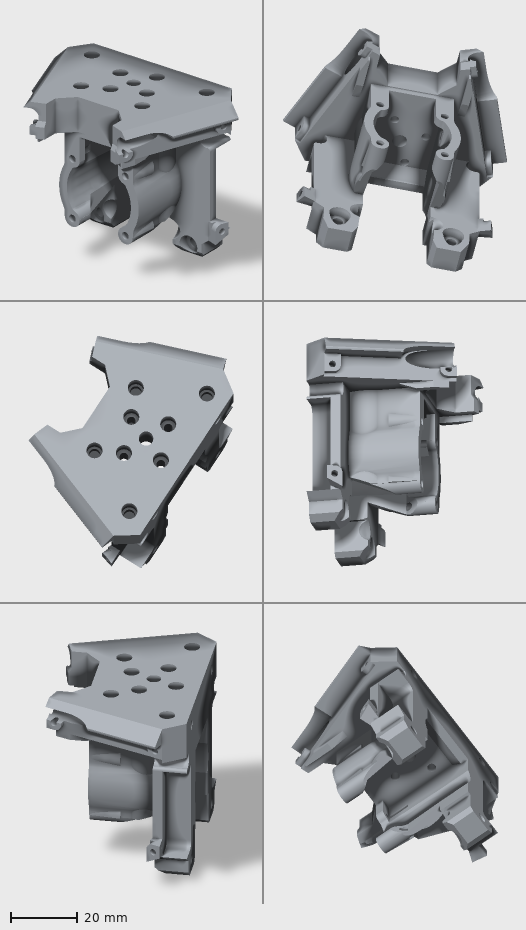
import cadquery as cq
import math


PLATE_DEPTH = 11.7
BACK_HALF = 26.05
CORNER_X = 30.6
CORNER_Y = -6.65
FLANK_ANGLE = 20.0
FLANK_LENGTH = 39.4
NOTCH_HALF = 7.6
NOTCH_BACK_Y = -32.5
NOTCH_CHAMFER = 4.85
FLANK_SIN = math.sin(math.radians(FLANK_ANGLE))
FLANK_COS = math.cos(math.radians(FLANK_ANGLE))
FRONT_X = CORNER_X - FLANK_LENGTH * FLANK_SIN
FRONT_Y = CORNER_Y - FLANK_LENGTH * FLANK_COS
NOTCH_SIDE = NOTCH_HALF + NOTCH_CHAMFER
NOTCH_FRONT_Y = FRONT_Y + (FRONT_X - NOTCH_SIDE) * FLANK_SIN / FLANK_COS

HALF_WIDTH = 34.6
FLANGE_REACH = (HALF_WIDTH - CORNER_X) / FLANK_COS
FLANGE_LIP_TOP = 4.15
FLANGE_LIP_BOTTOM = 4.6
FLANGE_UNDERCUT = 0.15
FLANGE_BOTTOM = 5.0
SKIRT_INSET = 1.9
LUG_WIDTH = 5.05
LUG_BOTTOM = 10.6
LUG_ROUND = 2.2
LUG_HOLE = 2.1
LUG_HOLE_INSET = 2.5
LUG_HOLE_DEPTH = 8.3
LUG_HOLE_LENGTH = 4.15
LEDGE_REACH = 0.9
LEDGE_TOP = 6.0
LEDGE_SLOPE_END = 7.7

SCREW_X = 17.5
SCREW_Z = (-5.0, -51.1)
SCREW_HOLE = 3.2
HEAD_DIA = 5.7
UPPER_SEAT_Y = -27.7
LOWER_SEAT_Y = -7.6
LOWER_SEAT_MOUTH = 6.65

PATTERN_Y = -14.6
PATTERN_RADIUS = 8.0
PATTERN_ANGLE = 66.5
PATTERN_COUNT = 4
CENTRE_HOLE = 4.35
PATTERN_HOLE = 2.6
INSERT_DIA = 4.85
INSERT_DEPTH = 5.55
BLIND_HOLE = 3.45
BLIND_DEPTH = 8.3
BLIND_POINTS = ((21.6, -6.7), (11.5, -25.7))

LEG_FRONT_Y = -10.45
LEG_HALF = 25.6
LEG_INNER = 11.55
LEG_FOOT_HALF = 22.5
LEG_BOTTOM = -55.1
LEG_SHOULDER = -16.3
LEG_SHOULDER_ROUND = 1.05
LEG_STEP_TOP = -46.8
LEG_STEP_BOTTOM = -49.2
FOOT_CHAMFER = 2.0
FOOT_INNER_CHAMFER = 1.45
FOOT_FRONT_CHAMFER = 3.0
RELIEF_X = 24.2
RELIEF_Z = -13.65
RELIEF_RADIUS = 2.7
POCKET_FRONT_Y = -7.5
POCKET_FLOOR = 18.0
POCKET_TOP = -17.4
POCKET_BOTTOM = -46.8
POCKET_ROUND = 2.2
CABLE_Z = -47.4
CABLE_RADIUS = 3.6
CABLE_OFFSET = 2.2
LEG_LUG_X = 30.3
LEG_LUG_LENGTH = 4.65
LEG_LUG_TOP = 40.65
LEG_LUG_BOTTOM = 47.15
LEG_LUG_SLOPE = 2.4
LEG_LUG_ROUND = 2.2
LEG_LUG_INWARD = 5.1
LEG_LUG_ROUNDED = 2.2
LEG_LUG_HOLE = (2.3, 43.2)

AXIS_Z = -31.6
ARM_FRONT_Y = -32.1
BARREL_RADIUS = 14.95
BORE_FRONT_RADIUS = 12.05
BORE_BACK_RADIUS = 11.55
BOLT_OFFSET = 10.0
BOLT_HOLE = 2.5
BOLT_BACK_Y = -22.5
LOBE_RADIUS = 2.8
ARM_OUTER = 12.9
ARM_INNER = BOLT_OFFSET - LOBE_RADIUS
ARM_BLEND = 3.45
BOSS_BACK_RADIUS = 3.7
BOSS_FRONT_RADIUS = 2.9
BOSS_INNER = 11.8
COLUMN_X = 13.7
COLUMN_Y = -14.75
COLUMN_RADIUS = 12.05
COLUMN_BACK_HALF = 4.3
INSIDE_HALF = 10.4
LOBE_BACK_Y = -23.95
LOBE_INNER_BACK_Y = -26.65
LOBE_OUTER_BACK_Y = BOLT_BACK_Y
UPPER_INSIDE_Y = -29.5
NECK_ROUND = 1.4
UNDERCUT_BACK_Z = -38.9
BRIDGE_BOTTOM = -13.5
RIB_FRONT_Y = -2.6
RIB_BEVEL_BOTTOM = -16.75
RIB_BOTTOM = -17.5

LOBE_DISTANCE = BOLT_OFFSET * math.sqrt(2)
NECK_ALONG = (LOBE_DISTANCE**2 + BORE_FRONT_RADIUS**2 - LOBE_RADIUS**2) / (2 * LOBE_DISTANCE)
NECK_ACROSS = math.sqrt(BORE_FRONT_RADIUS**2 - NECK_ALONG**2)
NECK_POINT = ((NECK_ALONG + NECK_ACROSS) / math.sqrt(2), (NECK_ALONG - NECK_ACROSS) / math.sqrt(2))

TAB_OUTER = 17.45
TAB_INNER = 15.25
TAB_BOTTOM = -13.7
TAB_FRONT_Y = -41.75
TAB_BACK_Y = -26.45

MARGIN = 6.9
NEAR = 0.7


def flank_plane(x, y):
    """Vertical plane on a flank: local x runs forward, local y down, normal outward."""
    return cq.Plane(
        origin=(x, y, 0),
        xDir=(-FLANK_SIN, -FLANK_COS, 0),
        normal=(FLANK_COS, -FLANK_SIN, 0),
    )


FLANK = flank_plane(CORNER_X, CORNER_Y)


def box(x_range, y_range, z_range):
    size = [b - a for a, b in (x_range, y_range, z_range)]
    corner = (x_range[0], y_range[0], z_range[0])
    return cq.Workplane("XY").box(*size, centered=False).translate(corner)


def rod(x, z, front_y, back_y, front_radius, back_radius=None):
    """Cylinder, or cone when a back radius is given, along Y."""
    if back_radius is None:
        solid = cq.Solid.makeCylinder(
            front_radius, back_y - front_y, cq.Vector(x, front_y, z), cq.Vector(0, 1, 0)
        )
    else:
        solid = cq.Solid.makeCone(
            front_radius, back_radius, back_y - front_y, cq.Vector(x, front_y, z), cq.Vector(0, 1, 0)
        )
    return cq.Workplane(solid)


def xz_prism(points, front_y, back_y):
    return cq.Workplane("XZ", origin=(0, back_y, 0)).polyline(points).close().extrude(back_y - front_y)


def yz_prism(points, x_start, x_end):
    return cq.Workplane("YZ", origin=(x_start, 0, 0)).polyline(points).close().extrude(x_end - x_start)


def flank_prism(points, inner, outer, plane=FLANK):
    """Prism of (forward, down) points between two offsets from the flank plane."""
    return cq.Workplane(plane).workplane(offset=inner).polyline(points).close().extrude(outer - inner)


def flank_box(start, end, top, bottom, inner, outer):
    points = ((start, top), (end, top), (end, bottom), (start, bottom))
    return flank_prism(points, inner, outer)


def plate_slab():
    outline = (
        (0, 0),
        (BACK_HALF, 0),
        (CORNER_X, CORNER_Y),
        (FRONT_X, FRONT_Y),
        (NOTCH_SIDE, NOTCH_FRONT_Y),
        (NOTCH_SIDE, NOTCH_BACK_Y - NOTCH_CHAMFER),
        (NOTCH_HALF, NOTCH_BACK_Y),
        (0, NOTCH_BACK_Y),
    )
    return cq.Workplane("XY").polyline(outline).close().extrude(-PLATE_DEPTH)


def front_ledge():
    end = FLANK_LENGTH + LEDGE_REACH
    profile = (
        (FLANK_LENGTH - LEDGE_REACH, LEDGE_TOP),
        (FLANK_LENGTH, LEDGE_TOP),
        (end, LEDGE_SLOPE_END),
        (end, PLATE_DEPTH),
        (FLANK_LENGTH - LEDGE_REACH, PLATE_DEPTH),
    )
    inside_notch = box((0, NOTCH_SIDE), (FRONT_Y - MARGIN, 0), (-PLATE_DEPTH, 0))
    return flank_prism(profile, -MARGIN, 0).cut(inside_notch)


def flange():
    """Bevelled overhang: a section across the flank, extruded along it."""
    section_plane = cq.Plane(
        origin=(CORNER_X, CORNER_Y, 0),
        xDir=(FLANK_COS, -FLANK_SIN, 0),
        normal=(-FLANK_SIN, -FLANK_COS, 0),
    )
    section = (
        (-SKIRT_INSET, 0),
        (0, 0),
        (FLANGE_REACH, FLANGE_LIP_TOP),
        (FLANGE_REACH, FLANGE_LIP_BOTTOM),
        (FLANGE_REACH - FLANGE_UNDERCUT, FLANGE_BOTTOM),
        (-SKIRT_INSET, FLANGE_BOTTOM),
    )
    section = [(out, -down) for out, down in section]
    return cq.Workplane(section_plane).polyline(section).close().extrude(FLANK_LENGTH)


def flank_lug(start, end, rounded_side):
    lug = flank_box(start, end, FLANGE_BOTTOM, LUG_BOTTOM, -SKIRT_INSET, 0)
    edge = cq.selectors.NearestToPointSelector(
        FLANK.toWorldCoords((rounded_side, LUG_BOTTOM, -SKIRT_INSET / 2)).toTuple()
    )
    return lug.edges(edge).fillet(LUG_ROUND)


def flank_hole(plane, forward, down, diameter, depth):
    centre = plane.toWorldCoords((forward, down, 0))
    solid = cq.Solid.makeCylinder(diameter / 2, depth, centre, plane.zDir.multiply(-1))
    return cq.Workplane(solid)


def head_scoop():
    """Clearance pressed through the flange, following where the screw-head bore leaves the skirt."""
    skirt_x = CORNER_X - SKIRT_INSET / FLANK_COS
    centre = (skirt_x - SCREW_X) / FLANK_SIN - SKIRT_INSET * FLANK_SIN / FLANK_COS
    half_length = HEAD_DIA / 2 / FLANK_SIN
    top = -SCREW_Z[0] - HEAD_DIA / 2
    bottom = top + HEAD_DIA
    front = FLANK_LENGTH + MARGIN
    scoop = cq.Workplane(FLANK).workplane(offset=-SKIRT_INSET).moveTo(centre, top)
    scoop = scoop.lineTo(front, top).lineTo(front, bottom).lineTo(centre, bottom)
    scoop = scoop.ellipseArc(half_length, HEAD_DIA / 2, 90, 270, startAtCurrent=True, sense=1).close()
    inboard = box((0, SCREW_X), (FRONT_Y - MARGIN, 0), (-PLATE_DEPTH, 0))
    return scoop.extrude(FLANGE_REACH + MARGIN).cut(inboard)


def plate_half():
    end = FLANK_LENGTH + LEDGE_REACH
    plate = plate_slab().union(front_ledge())
    plate = plate.cut(flank_box(0, end, FLANGE_BOTTOM, PLATE_DEPTH, -SKIRT_INSET, MARGIN))
    plate = plate.union(flange())
    plate = plate.union(flank_lug(0, LUG_WIDTH, LUG_WIDTH))
    plate = plate.union(flank_lug(end - LUG_WIDTH, end, end - LUG_WIDTH))
    plate = plate.cut(head_scoop())
    for forward in (LUG_HOLE_INSET, end - LUG_HOLE_INSET):
        plate = plate.cut(flank_hole(FLANK, forward, LUG_HOLE_DEPTH, LUG_HOLE, LUG_HOLE_LENGTH))
    return plate


def leg_lug():
    plane = flank_plane(LEG_LUG_X, POCKET_FRONT_Y)
    profile = (
        (0, LEG_LUG_TOP),
        (LEG_LUG_LENGTH, LEG_LUG_TOP),
        (LEG_LUG_LENGTH, LEG_LUG_BOTTOM),
        (0, LEG_LUG_BOTTOM - LEG_LUG_SLOPE),
    )
    lug = flank_prism(profile, -LEG_LUG_ROUNDED, 0, plane)
    top_edge = cq.selectors.NearestToPointSelector(
        plane.toWorldCoords((LEG_LUG_LENGTH, LEG_LUG_TOP, -LEG_LUG_ROUNDED / 2)).toTuple()
    )
    lug = lug.edges(top_edge).fillet(LEG_LUG_ROUND)
    lug = lug.union(flank_prism(profile, -LEG_LUG_INWARD, -LEG_LUG_ROUNDED, plane))
    lug = lug.cut(box((0, LEG_LUG_X), (POCKET_FRONT_Y, 0), (LEG_BOTTOM, 0)))
    return lug.cut(flank_hole(plane, *LEG_LUG_HOLE, LUG_HOLE, LUG_HOLE_LENGTH))


def leg_half():
    """Leg and half of the back wall, with the side pocket and the foot."""
    outline = (
        (0, -PLATE_DEPTH),
        (LEG_HALF, -PLATE_DEPTH),
        (LEG_HALF, LEG_STEP_TOP),
        (LEG_FOOT_HALF, LEG_STEP_BOTTOM),
        (LEG_FOOT_HALF, LEG_BOTTOM + FOOT_CHAMFER),
        (LEG_FOOT_HALF - FOOT_CHAMFER, LEG_BOTTOM),
        (LEG_INNER + FOOT_INNER_CHAMFER, LEG_BOTTOM),
        (LEG_INNER, LEG_BOTTOM + FOOT_INNER_CHAMFER),
        (LEG_INNER, AXIS_Z - BOLT_OFFSET - LOBE_RADIUS),
        (INSIDE_HALF, AXIS_Z - BOLT_OFFSET - LOBE_RADIUS),
        (INSIDE_HALF, BRIDGE_BOTTOM),
        (0, BRIDGE_BOTTOM),
    )
    leg = xz_prism(outline, LEG_FRONT_Y, 0)
    above_shoulder = box((RELIEF_X, LEG_HALF), (LEG_FRONT_Y, 0), (LEG_SHOULDER, -PLATE_DEPTH))
    leg = leg.cut(above_shoulder)
    shoulder = cq.selectors.NearestToPointSelector((LEG_HALF, LEG_FRONT_Y / 2, LEG_SHOULDER))
    leg = leg.edges(shoulder).fillet(LEG_SHOULDER_ROUND)
    leg = leg.cut(rod(RELIEF_X, RELIEF_Z, LEG_FRONT_Y, 0, RELIEF_RADIUS))

    pocket = box((POCKET_FLOOR, LEG_HALF), (POCKET_FRONT_Y, 0), (POCKET_BOTTOM, POCKET_TOP))
    leg = leg.cut(pocket.edges("|Y and <X").fillet(POCKET_ROUND))

    front_chamfer = (
        (LEG_FRONT_Y, LEG_BOTTOM),
        (LEG_FRONT_Y + FOOT_FRONT_CHAMFER, LEG_BOTTOM),
        (LEG_FRONT_Y, LEG_BOTTOM + FOOT_FRONT_CHAMFER),
    )
    leg = leg.cut(yz_prism(front_chamfer, 0, LEG_HALF))
    return leg.cut(cable_groove()).union(leg_lug())


def cable_groove():
    """Round groove cut at 45 degrees across the inner front edge of the leg."""
    start = cq.Vector(LEG_INNER - CABLE_OFFSET - MARGIN, LEG_FRONT_Y + MARGIN, CABLE_Z)
    length = 2 * MARGIN * math.sqrt(2)
    return cq.Workplane(cq.Solid.makeCylinder(CABLE_RADIUS, length, start, cq.Vector(1, -1, 0)))


def clamp_half():
    """One arm of the clamp: straight arm, barrel wall, bolt lobes and bosses."""
    upper_z = AXIS_Z + BOLT_OFFSET
    lower_z = AXIS_Z - BOLT_OFFSET
    arm = box((0, ARM_OUTER), (ARM_FRONT_Y, LEG_FRONT_Y), (lower_z, -PLATE_DEPTH))
    arm = arm.union(rod(0, AXIS_Z, ARM_FRONT_Y, LEG_FRONT_Y, BARREL_RADIUS))
    arm = arm.intersect(box((0, BARREL_RADIUS), (ARM_FRONT_Y, LEG_FRONT_Y), (lower_z, -PLATE_DEPTH)))
    blend = cq.selectors.BoxSelector(
        (ARM_OUTER - NEAR, ARM_FRONT_Y, lower_z + NEAR), (ARM_OUTER + NEAR, LEG_FRONT_Y, upper_z - NEAR)
    )
    arm = arm.edges("|Y").edges(blend).fillet(ARM_BLEND)

    column = cq.Workplane("XY", origin=(COLUMN_X - COLUMN_RADIUS, COLUMN_Y, 0)).circle(COLUMN_RADIUS)
    column = column.extrude(lower_z)
    limits = box(
        (INSIDE_HALF, COLUMN_X),
        (COLUMN_Y - COLUMN_BACK_HALF, COLUMN_Y + COLUMN_BACK_HALF),
        (lower_z, -PLATE_DEPTH),
    )
    arm = arm.union(column.intersect(limits))

    bore = rod(0, AXIS_Z, ARM_FRONT_Y, LEG_FRONT_Y, BORE_FRONT_RADIUS, BORE_BACK_RADIUS)
    arm = arm.cut(bore).cut(box((0, ARM_INNER), (ARM_FRONT_Y, 0), (lower_z - MARGIN, -PLATE_DEPTH)))
    boss_limits = box((BOSS_INNER, BARREL_RADIUS), (ARM_FRONT_Y, 0), (lower_z, 0))
    for z in (upper_z, lower_z):
        boss = rod(BOLT_OFFSET, z, ARM_FRONT_Y, BOLT_BACK_Y, BOSS_FRONT_RADIUS, BOSS_BACK_RADIUS)
        arm = arm.union(boss.intersect(boss_limits))
        arm = arm.union(rod(BOLT_OFFSET, z, ARM_FRONT_Y, LEG_FRONT_Y, LOBE_RADIUS))
        arm = arm.cut(rod(BOLT_OFFSET, z, ARM_FRONT_Y, BOLT_BACK_Y, BOLT_HOLE / 2))

        neck_z = AXIS_Z + math.copysign(NECK_POINT[1], z - AXIS_Z)
        neck = cq.selectors.BoxSelector(
            (NECK_POINT[0] - NEAR, ARM_FRONT_Y, neck_z - NEAR),
            (NECK_POINT[0] + NEAR, LEG_FRONT_Y, neck_z + NEAR),
        )
        arm = arm.edges(neck).fillet(NECK_ROUND)

    arm = arm.cut(box((0, INSIDE_HALF), (UPPER_INSIDE_Y, 0), (AXIS_Z, BRIDGE_BOTTOM)))
    lower_inside = ((0, LOBE_INNER_BACK_Y), (ARM_INNER, LOBE_INNER_BACK_Y), (INSIDE_HALF, LOBE_OUTER_BACK_Y))
    lower_inside += ((INSIDE_HALF, 0), (0, 0))
    inside = cq.Workplane("XY", origin=(0, 0, LEG_BOTTOM)).polyline(lower_inside).close()
    arm = arm.cut(inside.extrude(AXIS_Z - LEG_BOTTOM))
    undercut = (
        (LEG_FRONT_Y, UNDERCUT_BACK_Z),
        (LOBE_BACK_Y, lower_z - LOBE_RADIUS),
        (LOBE_BACK_Y, LEG_BOTTOM),
        (LEG_FRONT_Y, LEG_BOTTOM),
    )
    return arm.cut(yz_prism(undercut, 0, BARREL_RADIUS))


def bridge_half():
    """Thick roof between the arms, with a bevelled rib along its back edge."""
    rib_bevel = BRIDGE_BOTTOM - RIB_BEVEL_BOTTOM
    profile = (
        (0, -PLATE_DEPTH),
        (ARM_FRONT_Y, -PLATE_DEPTH),
        (ARM_FRONT_Y, BRIDGE_BOTTOM),
        (RIB_FRONT_Y - rib_bevel, BRIDGE_BOTTOM),
        (RIB_FRONT_Y, RIB_BEVEL_BOTTOM),
        (RIB_FRONT_Y, RIB_BOTTOM),
        (0, RIB_BOTTOM),
    )
    return yz_prism(profile, 0, INSIDE_HALF)


def tab():
    """Small keel below the plate edge, tapering out toward the back."""
    side = (
        (TAB_FRONT_Y, -PLATE_DEPTH),
        (TAB_FRONT_Y, TAB_BOTTOM),
        (ARM_FRONT_Y, TAB_BOTTOM),
        (TAB_BACK_Y, -PLATE_DEPTH),
    )
    keel = yz_prism(side, TAB_INNER, TAB_OUTER)
    return keel.cut(flank_box(0, FLANK_LENGTH, PLATE_DEPTH, -TAB_BOTTOM, -SKIRT_INSET, MARGIN))


def long_screw_holes(x):
    """Screw bores along Y through plate and foot, with seats for the heads."""
    upper_z, lower_z = SCREW_Z
    holes = rod(x, upper_z, FRONT_Y - MARGIN, UPPER_SEAT_Y, HEAD_DIA / 2)
    holes = holes.union(rod(x, upper_z, FRONT_Y, 0, SCREW_HOLE / 2))
    holes = holes.union(
        rod(x, lower_z, LEG_FRONT_Y, LOWER_SEAT_Y, LOWER_SEAT_MOUTH / 2, HEAD_DIA / 2)
    )
    return holes.union(rod(x, lower_z, LEG_FRONT_Y, 0, SCREW_HOLE / 2))


def vertical_holes():
    """Counterbored four-hole pattern about a centre hole, and four blind insert holes."""
    bridge_depth = abs(BRIDGE_BOTTOM)
    centre = cq.Workplane("XY", origin=(0, PATTERN_Y, 0))
    pattern = centre.polarArray(PATTERN_RADIUS, PATTERN_ANGLE, 360, PATTERN_COUNT)
    blind = cq.Workplane("XY").pushPoints([(side * x, y) for x, y in BLIND_POINTS for side in (1, -1)])
    holes = centre.circle(CENTRE_HOLE / 2).extrude(-bridge_depth)
    for diameter, depth in ((INSERT_DIA, INSERT_DEPTH), (PATTERN_HOLE, bridge_depth)):
        holes = holes.union(pattern.circle(diameter / 2).extrude(-depth))
    for diameter, depth in ((INSERT_DIA, INSERT_DEPTH), (BLIND_HOLE, BLIND_DEPTH)):
        holes = holes.union(blind.circle(diameter / 2).extrude(-depth))
    return holes


half = plate_half()
for piece in (leg_half(), bridge_half(), clamp_half(), tab()):
    half = half.union(piece)
half = half.cut(rod(0, AXIS_Z, LEG_FRONT_Y, 0, BORE_BACK_RADIUS))
half = half.cut(long_screw_holes(SCREW_X))
result = half.union(half.mirror("YZ")).cut(vertical_holes())